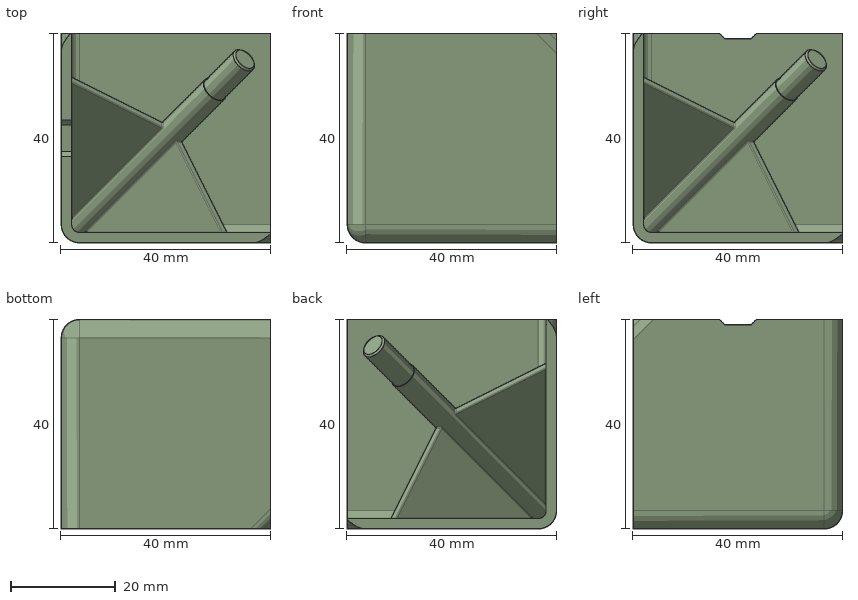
import cadquery as cq
import math

size = 40.0
wall = 2.0
bend_inner = 1.5
bend_outer = bend_inner + wall

rod_direction = cq.Vector(1, 1, 1)
rod_diameter = 5.3
tip_diameter = 5.0
tip_length = 10.0
rod_end = 35.1
end_chamfer = 0.35

rib_thickness = 1.5
rib_end = 37.2
rib_round = 0.2
rib_root_radius = 0.2

bevel_radius = 2.5
bevel_flat = 0.95
bevel_angle = math.radians(45)

notch_centre = size / 2
notch_bottom = 5.0
notch_depth = 1.0


def corner_block(start, radius):
    """Cube from (start, start, start) to the far corner, rounded at the near corner."""
    length = size - start
    block = cq.Workplane("XY").box(length, length, length, centered=False)
    near_edges = block.edges("<X and <Y").vals()
    near_edges += block.edges("<X and <Z").vals() + block.edges("<Y and <Z").vals()
    return block.newObject(near_edges).fillet(radius).translate((start, start, start))


def make_rod():
    """Stepped round rod with a chamfered tip, starting inside the corner."""
    full_length = (rod_end - wall) * math.sqrt(3)
    axis = cq.Plane(origin=(wall, wall, wall), xDir=(1, -1, 0), normal=rod_direction)
    shank = cq.Workplane(axis).circle(rod_diameter / 2).extrude(full_length - tip_length)
    tip = cq.Workplane(axis).workplane(offset=full_length - tip_length)
    tip = tip.circle(tip_diameter / 2).extrude(tip_length)
    tip = tip.faces(cq.selectors.DirectionMinMaxSelector(rod_direction)).chamfer(end_chamfer)
    return shank.union(tip)


def make_rib(to_wall):
    """Triangular rib from the rod axis to the diagonal of the wall that to_wall points at."""
    diagonal = rod_direction + cq.Vector(to_wall)
    normal = diagonal.cross(cq.Vector(to_wall))
    plane = cq.Plane(origin=(0, 0, 0), xDir=diagonal, normal=normal)
    on_axis = (rib_end * math.sqrt(2 / 3), -rib_end / math.sqrt(3))
    on_diagonal = (rib_end * math.sqrt(3 / 2), 0)
    rib = cq.Workplane(plane).polyline([(0, 0), on_axis, on_diagonal]).close()
    rib = rib.extrude(rib_thickness / 2, both=True)
    end_face = rib.faces(cq.selectors.DirectionMinMaxSelector(rod_direction))
    return end_face.edges(cq.selectors.PerpendicularDirSelector(normal)).fillet(rib_round)


def rib_root_edges(body):
    """Seams where the ribs meet the walls and the rod, including around the rib ends."""
    tolerance = 0.005
    roots = []
    for edge in body.edges().vals():
        middle = edge.positionAt(0.5)
        x, y, z = sorted(middle.toTuple())
        along = (x + y + z) / math.sqrt(3)
        from_axis = math.sqrt(max(x * x + y * y + z * z - along * along, 0))
        in_rib = abs(z - y) / math.sqrt(2) < rib_thickness / 2 + tolerance
        on_wall = abs(x - wall) < tolerance
        on_rod = abs(from_axis - rod_diameter / 2) < tolerance
        beside_corner = along > 3 * wall
        before_end = along < rib_end + tolerance
        if in_rib and beside_corner and before_end and (on_wall or on_rod):
            roots.append(edge)
    return roots


def bevel_cutter(corner, inward, depth):
    """Cutter for one wall corner: a 45 degree flat that rolls into the outer wall face."""
    plane = cq.Plane(origin=corner, xDir=inward, normal=cq.Vector(inward).cross(cq.Vector(depth)))

    def on_arc(angle):
        across = bevel_radius * (math.sin(bevel_angle) - math.sin(angle))
        return (bevel_flat + across, bevel_radius * (1 - math.cos(angle)))

    flat_start = on_arc(bevel_angle)
    overrun = wall
    flat_end = (-overrun, flat_start[1] + (bevel_flat + overrun) * math.tan(bevel_angle))
    profile = (
        cq.Workplane(plane)
        .moveTo(*on_arc(0))
        .threePointArc(on_arc(bevel_angle / 2), flat_start)
        .lineTo(*flat_end)
        .lineTo(-overrun, 0)
        .close()
    )
    return profile.extrude(size / 4, both=True)


def make_notch():
    """Tapered notch with 45 degree sides through the X wall."""
    half = notch_bottom / 2
    outline = [
        (notch_centre - half - notch_depth, size),
        (notch_centre - half, size - notch_depth),
        (notch_centre + half, size - notch_depth),
        (notch_centre + half + notch_depth, size),
    ]
    return cq.Workplane("YZ").polyline(outline).close().extrude(wall)


outer = corner_block(0, bend_outer)
shell = outer.cut(corner_block(wall, bend_inner))

inside = make_rod()
for to_wall in [(-1, 0, 0), (0, -1, 0), (0, 0, -1)]:
    inside = inside.union(make_rib(to_wall))
inside = inside.intersect(outer)
result = shell.union(inside)
result = result.newObject(rib_root_edges(result)).fillet(rib_root_radius)

wall_bevels = [
    ((size, 0, size), (-1, 0, -1), (0, 1, 0)),
    ((0, size, size), (0, -1, -1), (1, 0, 0)),
    ((size, size, 0), (-1, -1, 0), (0, 0, 1)),
]
for corner, inward, depth in wall_bevels:
    result = result.cut(bevel_cutter(corner, inward, depth))
result = result.cut(make_notch())